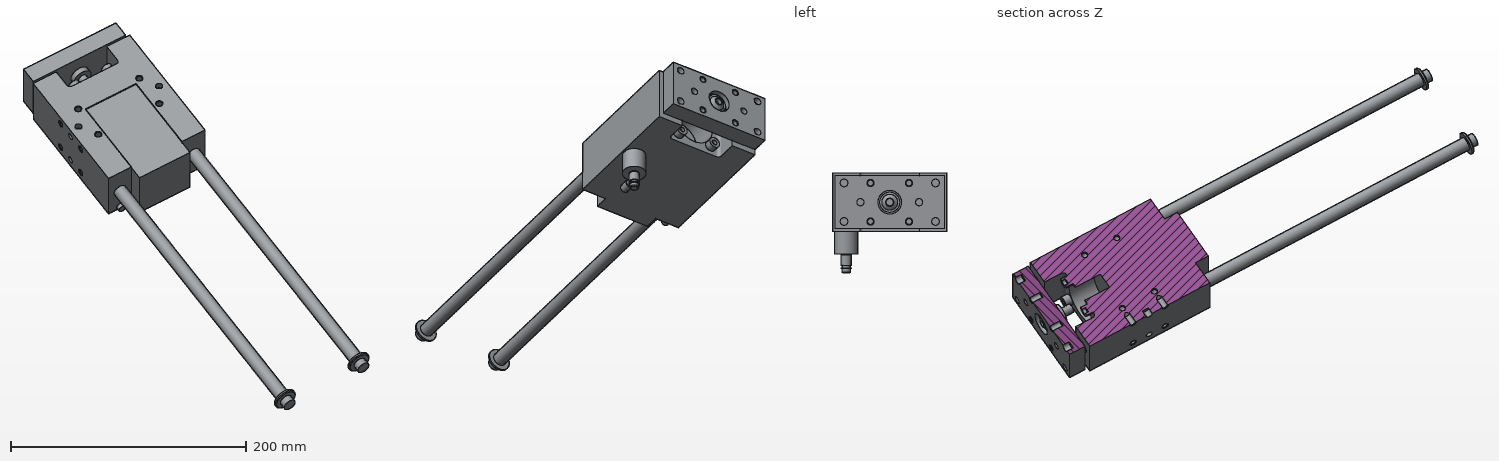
import cadquery as cq
total_length = 409.0
total_height = 85.0
plate_thickness = 15.5
plate_width = 93.0
plate_height = 45.0

housing_front = 19.0
housing_length = 120.0
housing_width = 97.0
housing_height = 50.0
housing_back = housing_front + housing_length
housing_bottom = -housing_height / 2
housing_top = housing_height / 2

channel_width = 50.7
slot_depth = 20.0
slot_corner_radius = 3.3
slot_wall = housing_front + slot_depth
block_front = 65.5
block_back = 151.5
block_drop = 1.2
bore_diameter = 36.0
bore_depth = 24.5

cap_screw_diameter = 10.0
cap_screw_height = 6.5
cap_screw_pitch = 32.7
cap_socket_diameter = 4.5
cap_socket_depth = 3.3

hole_group_x = 78.0
hole_pitch = 16.0
hole_row_z = 16.5
top_thread_y = 30.5
top_dowel_y = 40.5
dowel_diameter = 5.7
dowel_depth = 6.0
thread_mouth_diameter = 6.0
thread_core_diameter = 5.0
thread_depth = 10.2
thread_point_depth = 2.5
flat_end = 0

INTO_SIDE = (0, 1, 0)
INTO_TOP = (0, 0, -1)
INTO_PLATE = (1, 0, 0)

fitting_x = 75.5
fitting_body_diameter = 20.0
fitting_body_length = 19.2
fitting_collar_diameter = 8.0
fitting_collar_length = 1.0
fitting_stem_diameter = 9.0
fitting_stem_end = 28.5
fitting_groove_diameter = 7.0
fitting_ring_start = 31.0
fitting_ring_end = 31.5
fitting_tip_diameter = 7.5
fitting_tip_chamfer = 1.0
fitting_length = total_height - housing_height
fitting_neck_diameter = 6.5
fitting_neck_reach = 7.0
fitting_barrel_diameter = 7.8
fitting_barrel_reach = 16.0
fitting_barrel_chamfer = 0.5
fitting_barrel_drop = 25.5

plug_diameter = 6.5
plug_length = 3.5

rod_spacing = 74.0
rod_y = rod_spacing / 2
rod_diameter = 12.0
rod_end_diameter = 11.0
collar_start = 400.5
collar_thickness = 2.5
collar_diameter = 20.0
collar_chamfer = 1.0

corner_hole_diameter = 6.5
corner_hole_y = 39.0
side_hole_diameter = 6.0
side_hole_y = 25.0
plate_thread_y = 16.5
plate_hole_depth = 6.0

recess_diameter = 20.0
recess_depth = 5.0
coupling_diameter = 17.0
coupling_back = 20.5
coupling_front = 3.3
dome_diameter = 13.5
dome_front = 1.0
dome_tip_diameter = 7.0
coupling_hole_diameter = 6.0
coupling_hole_depth = 5.0
pin_diameter = 8.0
pin_end = 30.3


def box_between(x, y, z):
    """Box spanning the (low, high) pairs given for the three axes."""
    size = (x[1] - x[0], y[1] - y[0], z[1] - z[0])
    return cq.Workplane("XY").box(*size, centered=False).translate((x[0], y[0], z[0]))


def cylinder_x(diameter, start, end, y=0.0, z=0.0):
    """Cylinder along X between two stations."""
    base = cq.Workplane("YZ", origin=(start, y, z))
    return base.circle(diameter / 2).extrude(end - start)


def cylinder_down(diameter, top, length, x, y):
    """Cylinder along Z, hanging from its top face."""
    return cq.Workplane("XY", origin=(x, y, top)).circle(diameter / 2).extrude(-length)


def drilled_hole(diameter, depth, mouth, inward):
    """Plain round hole to subtract, running from its mouth along the inward direction."""
    return cq.Solid.makeCylinder(diameter / 2, depth, cq.Vector(mouth), cq.Vector(inward))


def threaded_hole(mouth, inward, point_depth):
    """Countersunk screw hole to subtract; it ends in a drill point, or flat if the point depth is zero."""
    core = thread_core_diameter / 2
    flare = thread_mouth_diameter / 2
    outline = [(0, 0), (flare, 0), (core, flare - core), (core, thread_depth)]
    outline.append((0, thread_depth + point_depth))
    hole = cq.Workplane("XZ").polyline(outline).close().revolve(360, (0, 0, 0), (0, 1, 0))
    return hole.val().moved(cq.Location(cq.Plane(origin=mouth, normal=inward)))


def housing_shell():
    """Rectangular housing with a front slot, the drive block behind it and the bore of the slot wall."""
    half = channel_width / 2
    full_z = (housing_bottom, housing_top)
    shell = box_between((housing_front, housing_back), (-housing_width / 2, housing_width / 2), full_z)
    slot = box_between((housing_front - slot_depth, slot_wall), (-half, half), full_z)
    slot = slot.edges("|Z and >X").fillet(slot_corner_radius)
    channel = box_between((block_front, housing_back), (-half, half), full_z)
    block = box_between((block_front, block_back), (-half, half), (housing_bottom, housing_top - block_drop))
    bore = cylinder_x(bore_diameter, slot_wall, slot_wall + bore_depth)
    return shell.cut(slot).cut(channel).union(block).cut(bore)


def add_cap_screws(body):
    """Four screw heads standing on the slot wall in a square pattern."""
    head_front = slot_wall - cap_screw_height
    socket_end = head_front + cap_socket_depth
    offset = cap_screw_pitch / 2
    for y in (-offset, offset):
        for z in (-offset, offset):
            body = body.union(cylinder_x(cap_screw_diameter, head_front, slot_wall, y, z))
            body = body.cut(cylinder_x(cap_socket_diameter, head_front, socket_end, y, z))
    return body


def cut_side_holes(body):
    """Two rows on the -Y side, each a dowel hole between two screw holes."""
    side = -housing_width / 2
    for z in (-hole_row_z, hole_row_z):
        dowel_mouth = (hole_group_x, side, z)
        body = body.cut(drilled_hole(dowel_diameter, dowel_depth, dowel_mouth, INTO_SIDE))
        for x in (hole_group_x - hole_pitch, hole_group_x + hole_pitch):
            body = body.cut(threaded_hole((x, side, z), INTO_SIDE, thread_point_depth))
    return body


def cut_top_holes(body):
    """Four screw holes and two dowel holes beside the drive block."""
    for side in (-1, 1):
        dowel_mouth = (hole_group_x, side * top_dowel_y, housing_top)
        body = body.cut(drilled_hole(dowel_diameter, dowel_depth, dowel_mouth, INTO_TOP))
        for x in (hole_group_x - hole_pitch, hole_group_x + hole_pitch):
            thread_mouth = (x, side * top_thread_y, housing_top)
            body = body.cut(threaded_hole(thread_mouth, INTO_TOP, thread_point_depth))
    return body


def air_fitting():
    """Vertical stem of stepped cylinders with a side barrel pointing along +X."""
    stem_start = fitting_body_length + fitting_collar_length
    steps = [
        (fitting_body_diameter, 0, fitting_body_length),
        (fitting_collar_diameter, fitting_body_length, stem_start),
        (fitting_stem_diameter, stem_start, fitting_stem_end),
        (fitting_groove_diameter, fitting_stem_end, fitting_ring_start),
        (fitting_stem_diameter, fitting_ring_start, fitting_ring_end),
        (fitting_tip_diameter, fitting_ring_end, fitting_length),
    ]
    fitting = cq.Workplane("XY")
    for diameter, start, end in steps:
        step = cylinder_down(diameter, housing_bottom - start, end - start, fitting_x, rod_y)
        fitting = fitting.union(step)
    fitting = fitting.faces("<Z").chamfer(fitting_tip_chamfer)

    barrel_z = housing_bottom - fitting_barrel_drop
    neck_end = fitting_x + fitting_neck_reach
    barrel_end = fitting_x + fitting_barrel_reach
    barrel = cylinder_x(fitting_barrel_diameter, neck_end, barrel_end, rod_y, barrel_z)
    barrel = barrel.faces(">X").chamfer(fitting_barrel_chamfer)
    neck = cylinder_x(fitting_neck_diameter, fitting_x, neck_end, rod_y, barrel_z)
    return fitting.union(neck).union(barrel)


def end_plug():
    """Short plug on the back face, below the -Y rod and level with the housing bottom."""
    plug_z = housing_bottom + plug_diameter / 2
    return cylinder_x(plug_diameter, housing_back, housing_back + plug_length, -rod_y, plug_z)


def make_housing():
    """Housing with its attached parts and a fitting bore for each guide rod."""
    body = add_cap_screws(housing_shell())
    body = cut_top_holes(cut_side_holes(body))
    body = body.union(air_fitting()).union(end_plug())
    for y in (-rod_y, rod_y):
        body = body.cut(cylinder_x(rod_diameter, housing_front, housing_back, y))
    return body


def guide_rod(y):
    """Rod with a stop collar and a thinner end."""
    collar_end = collar_start + collar_thickness
    rod = cylinder_x(rod_diameter, plate_thickness, collar_start, y)
    collar = cylinder_x(collar_diameter, collar_start, collar_end, y)
    rod = rod.union(collar.faces(">X").chamfer(collar_chamfer))
    return rod.union(cylinder_x(rod_end_diameter, collar_end, total_length, y))


def cut_plate_holes(plate):
    """Blind holes in the front face of the plate: four corner, four screw and two side holes."""
    for side in (-1, 1):
        plate = plate.cut(cylinder_x(side_hole_diameter, 0, plate_hole_depth, side * side_hole_y))
        for z in (-hole_row_z, hole_row_z):
            plate = plate.cut(cylinder_x(corner_hole_diameter, 0, plate_hole_depth, side * corner_hole_y, z))
            plate = plate.cut(threaded_hole((0, side * plate_thread_y, z), INTO_PLATE, flat_end))
    return plate


def coupling():
    """Flange with a conical nose at the front and a pin at the back."""
    flange = cylinder_x(coupling_diameter, coupling_front, coupling_back)
    dome = (cq.Workplane("YZ", origin=(coupling_front, 0, 0)).circle(dome_diameter / 2)
            .workplane(offset=dome_front - coupling_front).circle(dome_tip_diameter / 2).loft())
    hole = cylinder_x(coupling_hole_diameter, dome_front, dome_front + coupling_hole_depth)
    pin = cylinder_x(pin_diameter, coupling_back, pin_end)
    return flange.union(dome).cut(hole).union(pin)


def make_slide():
    """Front plate with its coupling and both guide rods, moving as one piece."""
    plate = box_between((0, plate_thickness), (-plate_width / 2, plate_width / 2),
                        (-plate_height / 2, plate_height / 2))
    recess = cylinder_x(recess_diameter, 0, recess_depth)
    slide_body = cut_plate_holes(plate).cut(recess).union(coupling())
    for y in (-rod_y, rod_y):
        slide_body = slide_body.union(guide_rod(y))
    return slide_body


housing = make_housing()
slide = make_slide()
result = cq.Compound.makeCompound([housing.val(), slide.val()])